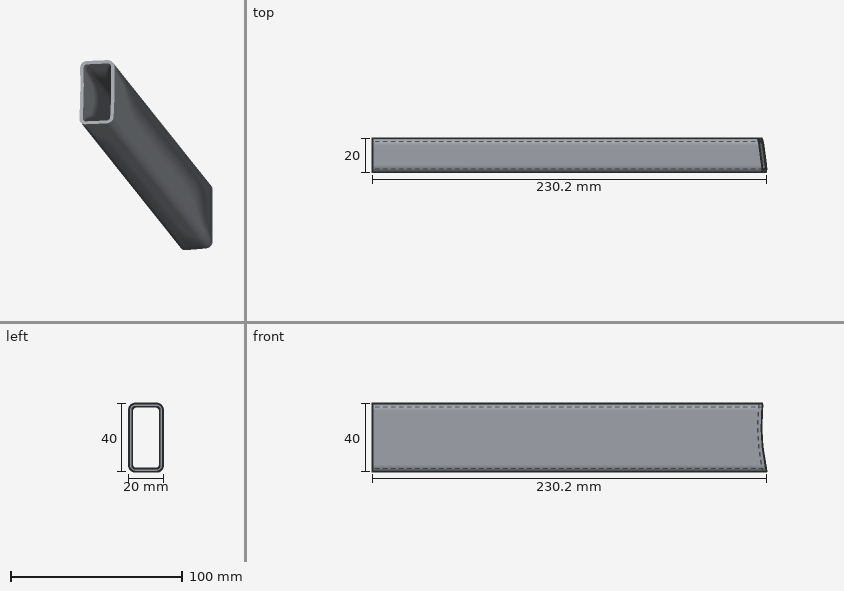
import cadquery as cq
import math

width = 20.0
height = 40.0
wall = 2.0
outer_radius = 4.0
inner_radius = outer_radius - wall
blank_length = 240.0

cope_radius = 110.0
cope_skew = 7.5
cope_height = 26.5
cope_root = 226.0
cope_span = 120.0


def rounded_bar(bar_width, bar_height, corner_radius):
    """Bar with rounded long edges, starting at X = 0, centred on Y and Z."""
    bar = cq.Workplane("YZ").rect(bar_width, bar_height).extrude(blank_length)
    return bar.edges("|X").fillet(corner_radius)


def make_tube():
    outside = rounded_bar(width, height, outer_radius)
    bore = rounded_bar(width - 2 * wall, height - 2 * wall, inner_radius)
    return outside.cut(bore)


def make_cope_cutter():
    skew = math.radians(cope_skew)
    axis = cq.Vector(-math.sin(skew), math.cos(skew), 0)
    crossing = cq.Vector(cope_root + cope_radius / math.cos(skew), 0, cope_height - height / 2)
    start = crossing - axis * (cope_span / 2)
    return cq.Workplane(cq.Solid.makeCylinder(cope_radius, cope_span, start, axis))


result = make_tube().cut(make_cope_cutter())